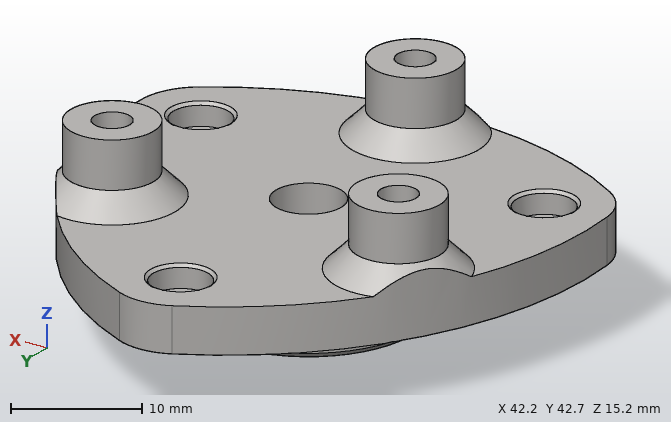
import cadquery as cq
import math

overall_length = 42.7
side_distance = 19.25
corner_distance = 18.0
tip_distance = overall_length - side_distance
corner_radius = tip_distance - corner_distance
corner_angles = (90, 210, 330)
side_angles = (150, 270, 30)

hub_height = 4.1
flange_thickness = 0.9
plate_thickness = 4.0
cone_height = 2.0
total_height = 15.2
plate_bottom = hub_height + flange_thickness
plate_top = plate_bottom + plate_thickness

hub_diameter = 20.1
flange_diameter = 22.0
hub_chamfer = 0.5
center_hole_diameter = 6.0

boss_distance = 15.0
boss_diameter = 7.6
boss_hole_diameter = 3.2

pocket_distance = corner_distance
pocket_diameter = 5.05
pocket_depth = 2.0
pocket_chamfer = 0.25


def polar(distance, angle):
    radians = math.radians(angle)
    return distance * math.cos(radians), distance * math.sin(radians)


def cylinder(diameter, bottom, height, center=(0, 0)):
    return cq.Workplane("XY", origin=(*center, bottom)).circle(diameter / 2).extrude(height)


def rounded_triangle(bottom, height):
    corner_offset = corner_distance * math.sin(math.radians(60))
    corner_depth = side_distance - corner_distance * math.cos(math.radians(60))
    side_radius = (corner_offset**2 + corner_depth**2 - corner_radius**2) / (
        2 * (corner_depth - corner_radius)
    )
    side_half_angle = math.degrees(math.asin(corner_offset / (side_radius - corner_radius)))

    def tangent_point(corner_angle, direction_angle):
        corner_x, corner_y = polar(corner_distance, corner_angle)
        step_x, step_y = polar(corner_radius, direction_angle)
        return corner_x + step_x, corner_y + step_y

    first_corner = corner_angles[0]
    start = tangent_point(first_corner, side_angles[-1] + side_half_angle)
    outline = cq.Workplane("XY", origin=(0, 0, bottom)).moveTo(*start)
    for index, (corner, side) in enumerate(zip(corner_angles, side_angles)):
        next_corner = corner_angles[(index + 1) % len(corner_angles)]
        corner_end = tangent_point(corner, side - side_half_angle)
        side_end = tangent_point(next_corner, side + side_half_angle)
        outline = outline.threePointArc(polar(tip_distance, corner), corner_end)
        outline = outline.threePointArc(polar(side_distance, side), side_end)
    return outline.close().extrude(height)


def hub():
    body = cylinder(hub_diameter, 0, hub_height).faces("<Z").chamfer(hub_chamfer)
    return body.union(cylinder(flange_diameter, hub_height, flange_thickness))


def boss(center):
    post = cylinder(boss_diameter, plate_top, total_height - plate_top, center)
    cone = cq.Solid.makeCone(
        boss_diameter / 2 + cone_height,
        boss_diameter / 2,
        cone_height,
        pnt=cq.Vector(*center, plate_top),
    )
    return post.union(cq.Workplane(cone))


def pocket(center):
    bore = cylinder(pocket_diameter, plate_top - pocket_depth, pocket_depth, center)
    countersink = cq.Solid.makeCone(
        pocket_diameter / 2,
        pocket_diameter / 2 + pocket_chamfer,
        pocket_chamfer,
        pnt=cq.Vector(*center, plate_top - pocket_chamfer),
    )
    return bore.union(cq.Workplane(countersink))


result = rounded_triangle(plate_bottom, plate_thickness)

for angle in side_angles:
    result = result.union(boss(polar(boss_distance, angle)))

result = result.intersect(rounded_triangle(plate_bottom, total_height - plate_bottom))
result = result.union(hub())

for angle in side_angles:
    result = result.cut(cylinder(boss_hole_diameter, 0, total_height, polar(boss_distance, angle)))

for angle in corner_angles:
    result = result.cut(pocket(polar(pocket_distance, angle)))

result = result.cut(cylinder(center_hole_diameter, 0, total_height))